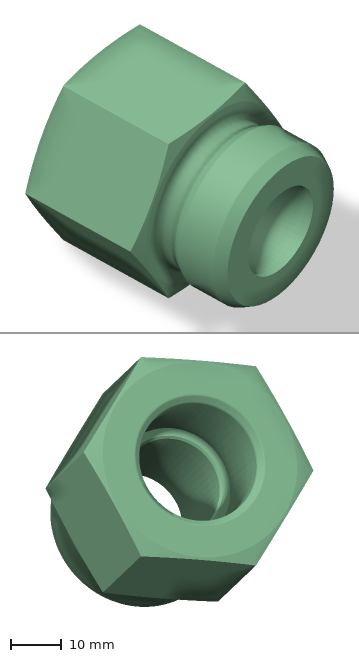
import cadquery as cq
import math

total_length = 47.0
hex_length = 29.05
hex_across_flats = 41.0
hex_corner_diameter = 47.3
hex_face_diameter = 40.0
hex_chamfer_angle = 15.0

neck_diameter = 32.9
spigot_diameter = 36.0
spigot_start = 35.85
spigot_cone_angle = 30.0
neck_root_radius = 1.2
neck_fillet = 1.4
spigot_edge_fillet = 0.7

entry_diameter = 24.1
entry_depth = 20.0
mouth_diameter = 26.65
mouth_fillet = 0.55
chamfer_angle = 45.0
through_diameter = 20.0
step_chamfer_diameter = 20.9


def cone_length(large_diameter, small_diameter, half_angle):
    """Axial length of a cone whose side leans half_angle from the axis."""
    return (large_diameter - small_diameter) / 2 / math.tan(math.radians(half_angle))


def edge_at(x):
    """Selector for the circular edge that lies in the plane at x."""
    tolerance = 0.05
    reach = hex_corner_diameter
    return cq.selectors.BoxSelector(
        (x - tolerance, -reach, -reach), (x + tolerance, reach, reach), boundingbox=True
    )


def revolve_about_x(profile):
    return profile.close().revolve(360, (0, 0, 0), (1, 0, 0))


def make_hexagon():
    """Hexagon with flats facing +Z and -Z, its corners turned and chamfered."""
    corner_diameter = hex_across_flats / math.cos(math.pi / 6)
    prism = cq.Workplane("YZ").polygon(6, corner_diameter).extrude(hex_length)
    chamfer_depth = (hex_corner_diameter - hex_face_diameter) / 2
    chamfer_length = chamfer_depth * math.tan(math.radians(hex_chamfer_angle))
    envelope = (
        cq.Workplane("XY")
        .moveTo(0, 0)
        .lineTo(0, hex_face_diameter / 2)
        .lineTo(chamfer_length, hex_corner_diameter / 2)
        .lineTo(hex_length - chamfer_length, hex_corner_diameter / 2)
        .lineTo(hex_length, hex_face_diameter / 2)
        .lineTo(hex_length, 0)
    )
    return prism.intersect(revolve_about_x(envelope))


def make_spigot():
    """Neck, cone and cylinder with a chamfered end, all blended by small radii."""
    cone = cone_length(spigot_diameter, neck_diameter, spigot_cone_angle)
    neck_end = spigot_start - cone
    chamfer_start = total_length - cone
    profile = (
        cq.Workplane("XY")
        .moveTo(hex_length, 0)
        .lineTo(hex_length, neck_diameter / 2)
        .lineTo(neck_end, neck_diameter / 2)
        .lineTo(spigot_start, spigot_diameter / 2)
        .lineTo(chamfer_start, spigot_diameter / 2)
        .lineTo(total_length, neck_diameter / 2)
        .lineTo(total_length, 0)
    )
    spigot = revolve_about_x(profile)

    spigot = spigot.edges(edge_at(neck_end)).fillet(neck_fillet)
    for x in (spigot_start, chamfer_start):
        spigot = spigot.edges(edge_at(x)).fillet(spigot_edge_fillet)
    return spigot


def make_neck_root():
    """Concave ring that joins the neck to the hexagon's rear face."""
    neck_radius = neck_diameter / 2
    diagonal = neck_root_radius * (1 - math.sqrt(0.5))
    profile = (
        cq.Workplane("XY")
        .moveTo(hex_length, 0)
        .lineTo(hex_length, neck_radius + neck_root_radius)
        .threePointArc(
            (hex_length + diagonal, neck_radius + diagonal),
            (hex_length + neck_root_radius, neck_radius),
        )
        .lineTo(hex_length + neck_root_radius, 0)
    )
    return revolve_about_x(profile)


def make_bore():
    """Cutter for the entry bore with a chamfered, rounded mouth and the narrower through bore."""
    mouth_chamfer = cone_length(mouth_diameter, entry_diameter, chamfer_angle)
    step_chamfer = cone_length(step_chamfer_diameter, through_diameter, chamfer_angle)
    profile = (
        cq.Workplane("XY")
        .moveTo(0, 0)
        .lineTo(0, mouth_diameter / 2)
        .lineTo(mouth_chamfer, entry_diameter / 2)
        .lineTo(entry_depth, entry_diameter / 2)
        .lineTo(entry_depth, step_chamfer_diameter / 2)
        .lineTo(entry_depth + step_chamfer, through_diameter / 2)
        .lineTo(total_length, through_diameter / 2)
        .lineTo(total_length, 0)
    )
    return revolve_about_x(profile)


def round_mouth(body):
    """Round both edges of the chamfer at the bore's mouth."""
    mouth_chamfer = cone_length(mouth_diameter, entry_diameter, chamfer_angle)
    mouth_edge = cq.selectors.RadiusNthSelector(0)
    body = body.faces("<X").edges("%CIRCLE").edges(mouth_edge).fillet(mouth_fillet)
    return body.edges(edge_at(mouth_chamfer)).edges(mouth_edge).fillet(mouth_fillet)


body = make_hexagon().union(make_spigot()).union(make_neck_root()).cut(make_bore())
result = round_mouth(body)